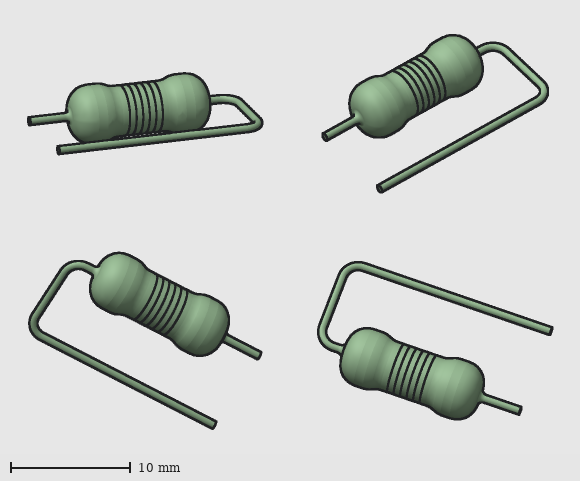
import cadquery as cq

total_length = 18.35
wire_diameter = 0.7
wire_radius = wire_diameter / 2
lead_pitch = 7.5
bend_radius = 1.4

body_diameter = 5.0
waist_diameter = 4.28
body_length = 12.0
body_center_y = 9.6
dome_length = 1.75
waist_length = 4.04
neck_length = 1.43
band_diameter = 4.25
band_count = 3
flare_radius = 0.5

body_radius = body_diameter / 2
waist_radius = waist_diameter / 2
half_body = body_length / 2
half_waist = waist_length / 2
band_width = waist_length / (2 * band_count + 1)
flare_foot_radius = wire_radius + flare_radius


def make_half_body():
    """Revolve the +Y half of the body, centred on the origin."""
    neck_middle = ((waist_radius + body_radius) / 2, half_waist + neck_length / 2)
    return (
        cq.Workplane("XY")
        .lineTo(waist_radius, 0)
        .lineTo(waist_radius, half_waist)
        .tangentArcPoint(neck_middle, relative=False)
        .tangentArcPoint((body_radius, half_waist + neck_length), relative=False)
        .lineTo(body_radius, half_body - dome_length)
        .tangentArcPoint((flare_foot_radius, half_body), relative=False)
        .radiusArc((wire_radius, half_body + flare_radius), flare_radius)
        .lineTo(0, half_body + flare_radius)
        .close()
        .revolve(360, (0, 0, 0), (0, 1, 0))
    )


def make_band_ring(center_y):
    """Ring of material that one recessed colour band removes from the waist."""
    return (
        cq.Workplane("XZ", origin=(0, center_y + band_width / 2, 0))
        .circle(body_radius)
        .circle(band_diameter / 2)
        .extrude(band_width)
    )


def make_body():
    """Join two mirrored halves, cut the bands and move the body along the lead."""
    half = make_half_body()
    body = half.union(half.mirror("XZ"))
    for index in range(band_count):
        band_center_y = (index - (band_count - 1) / 2) * 2 * band_width
        body = body.cut(make_band_ring(band_center_y))
    return body.translate((0, body_center_y, 0))


def make_lead():
    """Sweep the wire through the body, over the bridge and back down beside it."""
    bridge_y = total_length - wire_radius
    bend_start_y = bridge_y - bend_radius
    path = (
        cq.Workplane("XY")
        .lineTo(0, bend_start_y)
        .tangentArcPoint((bend_radius, bridge_y), relative=False)
        .lineTo(lead_pitch - bend_radius, bridge_y)
        .tangentArcPoint((lead_pitch, bend_start_y), relative=False)
        .lineTo(lead_pitch, 0)
    )
    return cq.Workplane("XZ").circle(wire_radius).sweep(path)


result = make_body().union(make_lead())